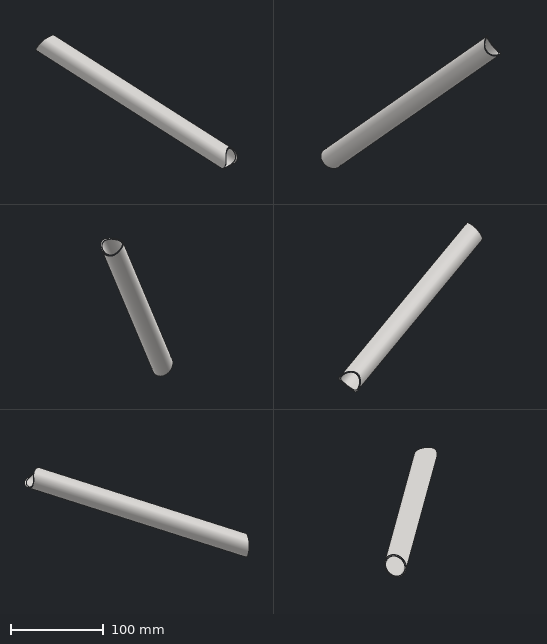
import cadquery as cq

outer_radius = 12.5
wall = 1.5
tube_slope = 0.095
blank_length = 338.8

flat_end_x = -127.2
flat_shift_y = 0.17
flat_shift_z = 0.28

saddle_radius = 15.0
saddle_x = 135.0
saddle_y = 19.3
saddle_slope_x = -0.17
saddle_slope_y = 0.46

tube_direction = cq.Vector(1, tube_slope, -tube_slope)


def centred_rod(radius, direction, length, centre=cq.Vector(0, 0, 0)):
    """Solid rod of the given length with its middle at centre."""
    axis = direction.normalized()
    return cq.Workplane(cq.Solid.makeCylinder(radius, length, centre - axis * (length / 2), axis))


def flat_end_cutter():
    """Block whose face is the tilted plane of the flat end, reaching outward from it."""
    cutter_size = 156.5
    outward = cq.Vector(-1, flat_shift_y, flat_shift_z)
    plane = cq.Plane(origin=(flat_end_x, 0, 0), normal=outward.toTuple())
    return cq.Workplane(plane).rect(cutter_size, cutter_size).extrude(cutter_size)


def saddle_cutter():
    """Rod following the crossing tube."""
    cutter_length = 208.5
    direction = cq.Vector(saddle_slope_x, saddle_slope_y, 1)
    return centred_rod(saddle_radius, direction, cutter_length, cq.Vector(saddle_x, saddle_y, 0))


tube = centred_rod(outer_radius, tube_direction, blank_length).cut(
    centred_rod(outer_radius - wall, tube_direction, blank_length)
)
trimmed = tube.cut(flat_end_cutter()).cut(saddle_cutter())

result = cq.Workplane(trimmed.solids("<X").val())